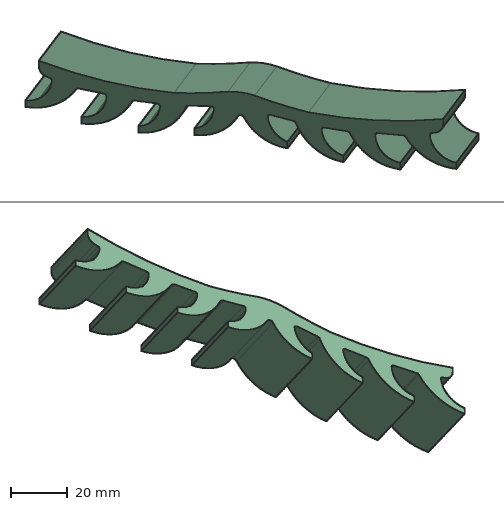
import cadquery as cq

LENGTH = 160.0
WIDTH = 25.0
HEIGHT = 22.5

CROWN_TOP_Z = -1.0
CROWN_EDGE = (-5.0, -1.5)
SHOULDER_MID = (-15.0, -3.5)
SHOULDER_EDGE = (-25.0, -5.0)
SADDLE_MID = (-50.0, -4.3)
END_X = -75.0

LIP_BOTTOM_Z = -5.0
LIP_RADIUS = 3.8

FRONT_ROOT_RADIUS = 1.0
BACK_ROOT_RADIUS = 1.3
OUTER_BACK_ROOT_RADIUS = 0.5
CENTRE_ROOT_RADIUS = 1.3

TEETH = [
    dict(front_root=(-70.0, -6.4), front_mid=(-73.3, -13.5), tip_top=(-LENGTH / 2, -16.3),
         tip_bottom=(-LENGTH / 2, -18.9), back_mid=(-68.5, -16.0), back_root=(-60.8, -8.6)),
    dict(front_root=(-50.0, -9.3), front_mid=(-52.8, -16.8), tip_top=(-59.2, -19.5),
         tip_bottom=(-59.2, -22.2), back_mid=(-47.8, -18.9), back_root=(-40.2, -10.2)),
    dict(front_root=(-30.0, -10.0), front_mid=(-32.6, -17.0), tip_top=(-38.0, -20.0),
         tip_bottom=(-38.0, -HEIGHT), back_mid=(-26.9, -18.4), back_root=(-20.2, -9.3)),
    dict(front_root=(-10.0, -8.0), front_mid=(-12.3, -14.5), tip_top=(-17.3, -17.8),
         tip_bottom=(-17.3, -20.3), back_mid=(-7.2, -17.1), back_root=(0, -8.3)),
]


def add_tooth(outline, tooth):
    """Run the outline from the previous root around one tooth."""
    return (
        outline.lineTo(*tooth["front_root"])
        .threePointArc(tooth["front_mid"], tooth["tip_top"])
        .lineTo(*tooth["tip_bottom"])
        .threePointArc(tooth["back_mid"], tooth["back_root"])
    )


def round_edge(body, point, radius):
    """Fillet the widthwise edge that passes through an outline point."""
    edge = cq.selectors.NearestToPointSelector((point[0], 0, point[1]))
    return body.edges("|Y").edges(edge).fillet(radius)


outline = (
    cq.Workplane("XZ")
    .moveTo(*CROWN_EDGE)
    .threePointArc(SHOULDER_MID, SHOULDER_EDGE)
    .threePointArc(SADDLE_MID, (END_X, 0))
    .lineTo(END_X, LIP_BOTTOM_Z)
)
for tooth in TEETH:
    outline = add_tooth(outline, tooth)
half = (
    outline.lineTo(0, CROWN_EDGE[1])
    .close()
    .extrude(WIDTH / 2, both=True)
)

crown = (
    cq.Workplane("XZ")
    .moveTo(*CROWN_EDGE)
    .threePointArc((0, CROWN_TOP_Z), (-CROWN_EDGE[0], CROWN_EDGE[1]))
    .close()
    .extrude(WIDTH / 2, both=True)
)

half = round_edge(half, (END_X, LIP_BOTTOM_Z), LIP_RADIUS)
for tooth in TEETH:
    half = round_edge(half, tooth["front_root"], FRONT_ROOT_RADIUS)
half = round_edge(half, TEETH[0]["back_root"], OUTER_BACK_ROOT_RADIUS)
for tooth in TEETH[1:-1]:
    half = round_edge(half, tooth["back_root"], BACK_ROOT_RADIUS)

body = half.union(half.mirror("YZ")).union(crown).clean()
result = round_edge(body, TEETH[-1]["back_root"], CENTRE_ROOT_RADIUS)